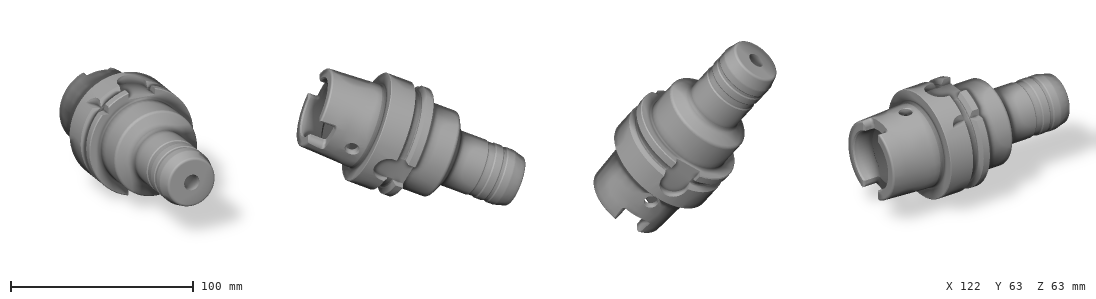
import cadquery as cq
import math


SHANK_LENGTH = 32.0
GAUGE_X = -6.3
GAUGE_DIA = 48.01
TAPER_RATE = 1 / 20
SHANK_END_FILLET = 1.25
RELIEF_START_X = -2.2
RELIEF_FLOOR_X = -1.4
RELIEF_FILLET_X = -0.7
RELIEF_DIA = 48.04
RELIEF_FILLET = 0.85
FACE_RECESS_DIA = 51.1

FLANGE_DIA = 63.0
FLANGE_LENGTH = 26.0
FLANGE_FACE_CHAMFER = 0.4
FLANGE_BACK_CHAMFER = 0.5
GRIP_GROOVE_X = 18.0
GRIP_GROOVE_MOUTH = 7.0
GRIP_GROOVE_FLOOR = 3.8
GRIP_GROOVE_DIA = 55.0
GRIP_GROOVE_FILLET = 0.6
GRIP_WALL_ANGLE = 30.0

TOTAL_LENGTH = 122.0
NOSE_END_X = TOTAL_LENGTH - SHANK_LENGTH
BODY_DIA = 50.0
BODY_ROOT_FILLET = 1.0
BODY_END_X = 44.65
SHOULDER_ANGLE = 60.0
SHOULDER_FILLET = 2.0
NOSE_DIA = 32.0
NOSE_GROOVE_DIA = 31.0
NOSE_GROOVE_WALL_LENGTH = 0.7
NOSE_GROOVES = [(66.2, 71.4), (75.4, 78.4)]
NOSE_TAPER_X = 82.6
NOSE_TAPER_ANGLE = 15.0
NOSE_TAPER_FILLET = 2.0
NOSE_TIP_FILLET = 1.5

BORE_DIA = 34.0
BORE_MOUTH_CHAMFER_LENGTH = 0.9
BORE_MOUTH_CHAMFER_DEPTH = 0.6
BORE_LENGTH = 12.7
CLAMP_RECESS_DIA = 40.0
CLAMP_CONE_ANGLE = 60.0
BORE_DEPTH = 29.5
BORE_FLOOR_DIA = 31.0
COOLANT_SEAT_DIA = 16.92
COOLANT_SEAT_DEPTH = 10.0
COOLANT_STEP_DIA = 10.0
COOLANT_STEP_DEPTH = 10.0
THROUGH_DIA = 9.2

DRIVE_SLOT_WIDTH = 12.54
DRIVE_SLOT_DEPTH_TOP = 6.0
DRIVE_SLOT_DEPTH_BOTTOM = 10.0
DRIVE_SLOT_FLARE_Z = 17.8
DRIVE_SLOT_FLARE_RADIUS = 3.4
DRIVE_SLOT_FLOOR_FILLET = 1.5
DRIVE_SLOT_MOUTH_CHAMFER = 0.95

CROSS_HOLE_X = -9.0
CROSS_HOLE_DIA = 7.5
CROSS_HOLE_MOUTH_DIA = 8.4

KEYWAY_WIDTH = 16.0
KEYWAY_END_CENTER_X = 12.9
KEYWAY_FLOOR_Z = 26.5
NOTCH_OFFSET = 20.0
NOTCH_END_RADIUS = 7.5

CLEAR = 40.0
SELECT_TOLERANCE = 0.01


def tan_deg(angle):
    return math.tan(math.radians(angle))


def revolve_profile(outline):
    return outline.close().revolve(360, (0, 0, 0), (1, 0, 0))


def ring(x, radius):
    """Selector for the circular edge of that radius at that X."""
    tol = SELECT_TOLERANCE
    return cq.selectors.BoxSelector(
        (x - tol, -radius - tol, -radius - tol), (x + tol, radius + tol, radius + tol), boundingbox=True
    )


def taper_radius(x):
    return GAUGE_DIA / 2 + (x - GAUGE_X) * TAPER_RATE


def make_shank():
    end_x = -SHANK_LENGTH
    relief_r = RELIEF_DIA / 2
    outline = (
        cq.Workplane("XY")
        .moveTo(end_x, 0)
        .lineTo(end_x, taper_radius(end_x))
        .lineTo(RELIEF_START_X, taper_radius(RELIEF_START_X))
        .lineTo(RELIEF_FLOOR_X, relief_r)
        .lineTo(0, relief_r)
        .lineTo(0, 0)
    )
    shank = revolve_profile(outline)
    return shank.edges(ring(end_x, taper_radius(end_x))).fillet(SHANK_END_FILLET)


def make_relief_fillet():
    """Ring that blends the relief floor into the dished flange face."""
    relief_r = RELIEF_DIA / 2
    root_x = RELIEF_FILLET_X + RELIEF_FILLET
    outline = (
        cq.Workplane("XY")
        .moveTo(RELIEF_FILLET_X, relief_r)
        .radiusArc((root_x, relief_r + RELIEF_FILLET), -RELIEF_FILLET)
        .lineTo(root_x, relief_r)
    )
    return revolve_profile(outline)


def make_face_recess():
    """Cutter for the dished ring, deepest where the relief fillet meets it."""
    relief_r = RELIEF_DIA / 2
    root_x = RELIEF_FILLET_X + RELIEF_FILLET
    outline = (
        cq.Workplane("XY")
        .moveTo(0, relief_r)
        .lineTo(root_x, relief_r)
        .lineTo(root_x, relief_r + RELIEF_FILLET)
        .lineTo(0, FACE_RECESS_DIA / 2)
    )
    return revolve_profile(outline)


def make_flange():
    flange = cq.Workplane("YZ").circle(FLANGE_DIA / 2).extrude(FLANGE_LENGTH)
    flange = flange.faces("<X").chamfer(FLANGE_FACE_CHAMFER)
    flange = flange.faces(">X").chamfer(FLANGE_BACK_CHAMFER)
    return flange.cut(make_grip_groove()).cut(make_face_recess())


def make_grip_groove():
    half_mouth = GRIP_GROOVE_MOUTH / 2
    half_floor = GRIP_GROOVE_FLOOR / 2
    rim_r = FLANGE_DIA / 2
    floor_r = GRIP_GROOVE_DIA / 2
    wall_r = rim_r - (half_mouth - half_floor) / tan_deg(GRIP_WALL_ANGLE)
    outline = (
        cq.Workplane("XY")
        .moveTo(GRIP_GROOVE_X - half_floor, floor_r)
        .lineTo(GRIP_GROOVE_X - half_floor, wall_r)
        .lineTo(GRIP_GROOVE_X - half_mouth, rim_r)
        .lineTo(GRIP_GROOVE_X - half_mouth, CLEAR)
        .lineTo(GRIP_GROOVE_X + half_mouth, CLEAR)
        .lineTo(GRIP_GROOVE_X + half_mouth, rim_r)
        .lineTo(GRIP_GROOVE_X + half_floor, wall_r)
        .lineTo(GRIP_GROOVE_X + half_floor, floor_r)
    )
    groove = revolve_profile(outline)
    for side in (-1, 1):
        groove = groove.edges(ring(GRIP_GROOVE_X + side * half_floor, floor_r)).fillet(GRIP_GROOVE_FILLET)
    return groove


def make_body():
    body_r = BODY_DIA / 2
    nose_r = NOSE_DIA / 2
    shoulder_end_x = BODY_END_X + (body_r - nose_r) / tan_deg(SHOULDER_ANGLE)
    tip_r = nose_r - (NOSE_END_X - NOSE_TAPER_X) * tan_deg(NOSE_TAPER_ANGLE)
    inner_x = FLANGE_LENGTH / 2
    root_r = body_r + BODY_ROOT_FILLET
    outline = (
        cq.Workplane("XY")
        .moveTo(inner_x, 0)
        .lineTo(inner_x, root_r)
        .lineTo(FLANGE_LENGTH, root_r)
        .radiusArc((FLANGE_LENGTH + BODY_ROOT_FILLET, body_r), -BODY_ROOT_FILLET)
        .lineTo(BODY_END_X, body_r)
        .lineTo(shoulder_end_x, nose_r)
        .lineTo(NOSE_TAPER_X, nose_r)
        .lineTo(NOSE_END_X, tip_r)
        .lineTo(NOSE_END_X, 0)
    )
    body = revolve_profile(outline)
    body = body.edges(ring(BODY_END_X, body_r)).fillet(SHOULDER_FILLET)
    body = body.edges(ring(shoulder_end_x, nose_r)).fillet(SHOULDER_FILLET)
    body = body.edges(ring(NOSE_TAPER_X, nose_r)).fillet(NOSE_TAPER_FILLET)
    body = body.edges(ring(NOSE_END_X, tip_r)).fillet(NOSE_TIP_FILLET)
    for start_x, end_x in NOSE_GROOVES:
        body = body.cut(make_nose_groove(start_x, end_x))
    return body


def make_nose_groove(start_x, end_x):
    rim_r = NOSE_DIA / 2
    floor_r = NOSE_GROOVE_DIA / 2
    outline = (
        cq.Workplane("XY")
        .moveTo(start_x, rim_r)
        .lineTo(start_x + NOSE_GROOVE_WALL_LENGTH, floor_r)
        .lineTo(end_x - NOSE_GROOVE_WALL_LENGTH, floor_r)
        .lineTo(end_x, rim_r)
        .lineTo(end_x, CLEAR)
        .lineTo(start_x, CLEAR)
    )
    return revolve_profile(outline)


def make_bore():
    mouth_x = -SHANK_LENGTH
    bore_r = BORE_DIA / 2
    recess_r = CLAMP_RECESS_DIA / 2
    floor_r = BORE_FLOOR_DIA / 2
    bore_end_x = mouth_x + BORE_LENGTH
    recess_start_x = bore_end_x + (recess_r - bore_r) / tan_deg(CLAMP_CONE_ANGLE)
    floor_x = mouth_x + BORE_DEPTH
    floor_fillet = recess_r - floor_r
    seat_x = floor_x + COOLANT_SEAT_DEPTH
    step_x = seat_x + COOLANT_STEP_DEPTH
    outline = (
        cq.Workplane("XY")
        .moveTo(mouth_x, 0)
        .lineTo(mouth_x, bore_r + BORE_MOUTH_CHAMFER_DEPTH)
        .lineTo(mouth_x + BORE_MOUTH_CHAMFER_LENGTH, bore_r)
        .lineTo(bore_end_x, bore_r)
        .lineTo(recess_start_x, recess_r)
        .lineTo(floor_x - floor_fillet, recess_r)
        .radiusArc((floor_x, floor_r), floor_fillet)
        .lineTo(floor_x, COOLANT_SEAT_DIA / 2)
        .lineTo(seat_x, COOLANT_SEAT_DIA / 2)
        .lineTo(seat_x, COOLANT_STEP_DIA / 2)
        .lineTo(step_x, COOLANT_STEP_DIA / 2)
        .lineTo(step_x, THROUGH_DIA / 2)
        .lineTo(NOSE_END_X, THROUGH_DIA / 2)
        .lineTo(NOSE_END_X, 0)
    )
    return revolve_profile(outline)


def make_drive_slot(depth):
    """Cutter for the slot on the +Z side of the shank end."""
    half = DRIVE_SLOT_WIDTH / 2
    flare = DRIVE_SLOT_FLARE_RADIUS
    flare_top_z = DRIVE_SLOT_FLARE_Z + flare
    mouth_x = -SHANK_LENGTH
    slot = (
        cq.Workplane("YZ", origin=(mouth_x, 0, 0))
        .moveTo(-half, 0)
        .lineTo(half, 0)
        .lineTo(half, DRIVE_SLOT_FLARE_Z)
        .radiusArc((half + flare, flare_top_z), flare)
        .lineTo(half + flare, CLEAR)
        .lineTo(-half - flare, CLEAR)
        .lineTo(-half - flare, flare_top_z)
        .radiusArc((-half, DRIVE_SLOT_FLARE_Z), flare)
        .close()
        .extrude(depth)
    )
    floor_x = mouth_x + depth
    tol = SELECT_TOLERANCE
    floor_sides = cq.selectors.BoxSelector(
        (floor_x - tol, -CLEAR, -tol), (floor_x + tol, CLEAR, flare_top_z + tol), boundingbox=True
    )
    slot = slot.edges(floor_sides).edges("not <Z").fillet(DRIVE_SLOT_FLOOR_FILLET)
    chamfer = DRIVE_SLOT_MOUTH_CHAMFER
    mouth = (
        cq.Workplane("XY")
        .moveTo(mouth_x, -half - chamfer)
        .lineTo(mouth_x + chamfer, -half)
        .lineTo(mouth_x + chamfer, half)
        .lineTo(mouth_x, half + chamfer)
        .close()
        .extrude(CLEAR)
    )
    return slot.union(mouth)


def make_cross_hole():
    """Hole along Z through both shank walls, countersunk outside."""
    hole_r = CROSS_HOLE_DIA / 2
    mouth_r = CROSS_HOLE_MOUTH_DIA / 2
    sink_depth = mouth_r - hole_r
    sink_start_z = taper_radius(CROSS_HOLE_X) - sink_depth
    sink_height = 2 * sink_depth
    sink_end_z = sink_start_z + sink_height
    cutter = (
        cq.Workplane("XZ")
        .lineTo(hole_r, 0)
        .lineTo(hole_r, sink_start_z)
        .lineTo(hole_r + sink_height, sink_end_z)
        .lineTo(0, sink_end_z)
        .close()
        .revolve(360, (0, 0, 0), (0, 1, 0))
    )
    return cutter.union(to_bottom(cutter)).translate((CROSS_HOLE_X, 0, 0))


def make_keyway():
    """Cutter for the round-ended keyway on the +Z side of the flange."""
    half = KEYWAY_WIDTH / 2
    return (
        cq.Workplane("XY", origin=(0, 0, KEYWAY_FLOOR_Z))
        .moveTo(FLANGE_LENGTH, -half)
        .lineTo(KEYWAY_END_CENTER_X, -half)
        .radiusArc((KEYWAY_END_CENTER_X, half), half)
        .lineTo(FLANGE_LENGTH, half)
        .close()
        .extrude(CLEAR - KEYWAY_FLOOR_Z)
    )


def make_index_notch():
    """Cutter for the square corner notch at -Y, +Z, its inner end rounded about Z."""
    wall_y = -NOTCH_OFFSET
    far_y = wall_y - 2 * NOTCH_END_RADIUS
    return (
        cq.Workplane("XY", origin=(0, 0, NOTCH_OFFSET))
        .moveTo(FLANGE_LENGTH, wall_y)
        .lineTo(KEYWAY_END_CENTER_X, wall_y)
        .radiusArc((KEYWAY_END_CENTER_X, far_y), -NOTCH_END_RADIUS)
        .lineTo(FLANGE_LENGTH, far_y)
        .close()
        .extrude(CLEAR - NOTCH_OFFSET)
    )


def to_bottom(cutter):
    """Turn a cutter for the +Z side half a turn about the axis to the -Z side."""
    return cutter.rotate((0, 0, 0), (1, 0, 0), 180)


result = make_shank().union(make_flange()).union(make_relief_fillet())
result = result.cut(make_index_notch()).cut(make_keyway()).cut(to_bottom(make_keyway()))
result = result.union(make_body())
result = result.cut(make_bore()).cut(make_cross_hole())
result = result.cut(make_drive_slot(DRIVE_SLOT_DEPTH_TOP))
result = result.cut(to_bottom(make_drive_slot(DRIVE_SLOT_DEPTH_BOTTOM)))